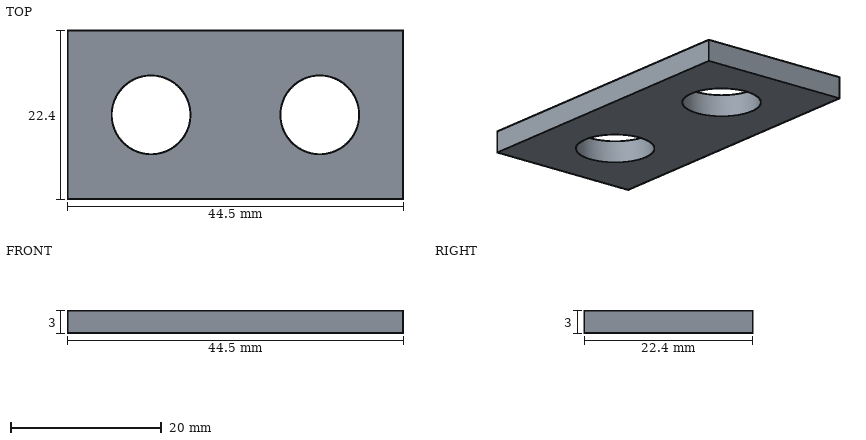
import cadquery as cq

plate_length = 44.45
plate_width = 22.35
plate_thickness = 3.0
hole_diameter = 10.41
hole_spacing = 22.35

hole_centers = [(-hole_spacing / 2, 0), (hole_spacing / 2, 0)]

plate = cq.Workplane("XY").box(plate_length, plate_width, plate_thickness)

result = plate.faces(">Z").workplane().pushPoints(hole_centers).hole(hole_diameter)